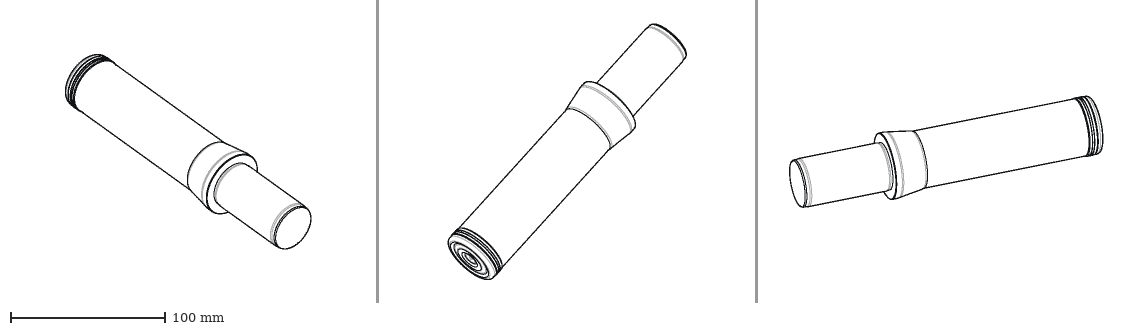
import cadquery as cq

TOTAL_LENGTH = 204.0

BARREL_RADIUS = 38.0 / 2
BAND_RADIUS = 19.4
NOSE_RADIUS = 19.2
NOSE_FILLET = 2.2
BAND_START = 3.9
BAND_END = 10.2
BAND_TAPER = 0.6
GROOVE_START = 6.3
GROOVE_END = 7.8

COLLAR_RADIUS = 44.0 / 2
FLARE_START = 121.2
FLARE_STEP_LENGTH = 1.2
FLARE_STEP_RADIUS = 19.4
FLARE_END = 138.5
FLARE_EDGE_LENGTH = 1.0
FLARE_EDGE_DROP = 0.2
COLLAR_END = 143.8
COLLAR_CHAMFER = 0.5

DISH_OUTER_RADIUS = 16.0
DISH_FLOOR_OUTER_RADIUS = 13.9
DISH_FLOOR_INNER_RADIUS = 12.9
DISH_INNER_RADIUS = 10.5
DISH_EDGE_RADIUS = 9.8
DISH_EDGE_DEPTH = 0.2
DISH_DEPTH = 0.8
DIMPLE_RADIUS = 6.5
DIMPLE_STEP_RADIUS = 4.7
DIMPLE_STEP_DEPTH = 1.0
DIMPLE_CONE_RADIUS = 3.7
DIMPLE_FLOOR_RADIUS = 1.2
DIMPLE_DEPTH = 1.5

SHANK_RADIUS = 32.0 / 2
NECK_RADIUS = 31.5 / 2
NECK_LENGTH = 1.5
SHANK_TAPER = 1.0
TIP_RADIUS = NECK_RADIUS
TIP_END_RADIUS = 15.3
TIP_LENGTH = 3.3
TIP_CHAMFER = 1.0


def turned(profile):
    """Revolve a closed (x, radius) profile about the X axis."""
    return profile.close().revolve(360, (0, 0, 0), (1, 0, 0))


def barrel_blank():
    return turned(
        cq.Workplane("XY")
        .lineTo(0, NOSE_RADIUS - NOSE_FILLET)
        .radiusArc((NOSE_FILLET, NOSE_RADIUS), NOSE_FILLET)
        .lineTo(BAND_START, NOSE_RADIUS)
        .lineTo(BAND_START + BAND_TAPER, BAND_RADIUS)
        .lineTo(GROOVE_START, BAND_RADIUS)
        .lineTo(GROOVE_START, BARREL_RADIUS)
        .lineTo(GROOVE_END, BARREL_RADIUS)
        .lineTo(GROOVE_END, BAND_RADIUS)
        .lineTo(BAND_END - BAND_TAPER, BAND_RADIUS)
        .lineTo(BAND_END, BARREL_RADIUS)
        .lineTo(FLARE_START, BARREL_RADIUS)
        .lineTo(FLARE_START + FLARE_STEP_LENGTH, FLARE_STEP_RADIUS)
        .lineTo(FLARE_END, COLLAR_RADIUS - FLARE_EDGE_DROP)
        .lineTo(FLARE_END + FLARE_EDGE_LENGTH, COLLAR_RADIUS)
        .lineTo(COLLAR_END - COLLAR_CHAMFER, COLLAR_RADIUS)
        .lineTo(COLLAR_END, COLLAR_RADIUS - COLLAR_CHAMFER)
        .lineTo(COLLAR_END, 0)
    )


def face_dish():
    """Annular recess with sloping walls and a flat floor."""
    return turned(
        cq.Workplane("XY")
        .moveTo(0, DISH_OUTER_RADIUS)
        .lineTo(DISH_DEPTH, DISH_FLOOR_OUTER_RADIUS)
        .lineTo(DISH_DEPTH, DISH_FLOOR_INNER_RADIUS)
        .lineTo(DISH_EDGE_DEPTH, DISH_INNER_RADIUS)
        .lineTo(0, DISH_EDGE_RADIUS)
    )


def face_dimple():
    """Stepped conical recess at the centre of the nose."""
    return turned(
        cq.Workplane("XY")
        .lineTo(0, DIMPLE_RADIUS)
        .lineTo(DIMPLE_STEP_DEPTH, DIMPLE_STEP_RADIUS)
        .lineTo(DIMPLE_STEP_DEPTH, DIMPLE_CONE_RADIUS)
        .lineTo(DIMPLE_DEPTH, DIMPLE_FLOOR_RADIUS)
        .lineTo(DIMPLE_DEPTH, 0)
    )


def make_barrel():
    return barrel_blank().cut(face_dish()).cut(face_dimple())


def make_shank():
    """Shank that butts against the collar with a narrow neck."""
    neck_end = COLLAR_END + NECK_LENGTH
    tip_start = TOTAL_LENGTH - TIP_LENGTH
    return turned(
        cq.Workplane("XY")
        .moveTo(COLLAR_END, 0)
        .lineTo(COLLAR_END, NECK_RADIUS)
        .lineTo(neck_end, NECK_RADIUS)
        .lineTo(neck_end + SHANK_TAPER, SHANK_RADIUS)
        .lineTo(tip_start - SHANK_TAPER, SHANK_RADIUS)
        .lineTo(tip_start, TIP_RADIUS)
        .lineTo(TOTAL_LENGTH - TIP_CHAMFER, TIP_RADIUS)
        .lineTo(TOTAL_LENGTH, TIP_END_RADIUS)
        .lineTo(TOTAL_LENGTH, 0)
    )


barrel = make_barrel()
shank = make_shank()

result = cq.Compound.makeCompound([barrel.val(), shank.val()])